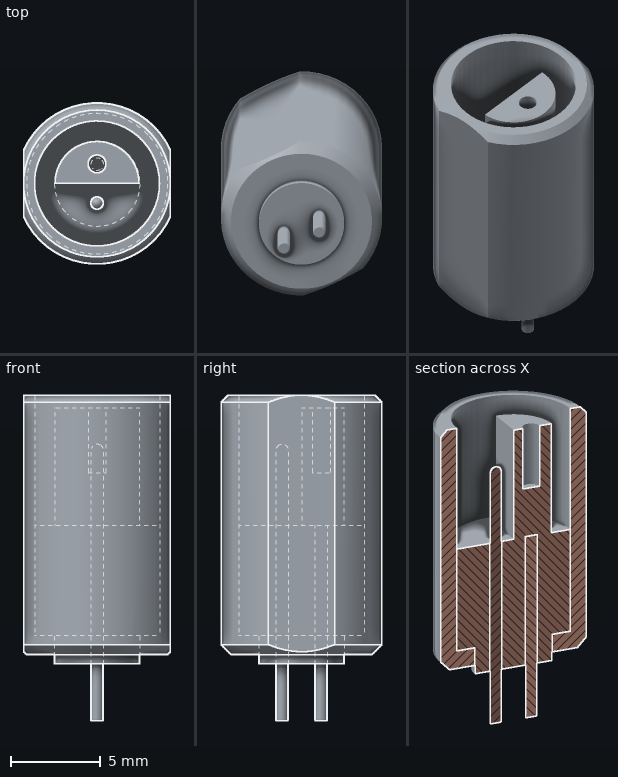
import cadquery as cq

total_height = 18.2
boss_bottom_z = 3.18
housing_bottom_z = 3.7
floor_z = 10.92
half_moon_depth = 0.71
half_moon_top_z = total_height - half_moon_depth

housing_diameter = 9.0
width_across_flats = 8.2
bore_diameter = 6.99
top_chamfer = (housing_diameter - width_across_flats) / 2
bottom_chamfer = 0.56
base_thickness = 1.1
base_top_z = housing_bottom_z + base_thickness

boss_diameter = 4.77
half_moon_diameter = 4.7
socket_diameter = 1.0
socket_depth = 3.64
socket_floor_z = half_moon_top_z - socket_depth

contact_diameter = 0.7
contact_radius = contact_diameter / 2
contact_offset = 1.1
tail_fillet = 0.07
male_tip_z = 15.47


def cylinder(diameter, bottom_z, top_z, center_y=0):
    """Vertical cylinder on the plane X = 0."""
    return (
        cq.Workplane("XY", origin=(0, center_y, bottom_z))
        .circle(diameter / 2)
        .extrude(top_z - bottom_z)
    )


def make_housing():
    """Chamfered shell with two flats, bored from above and open through its base."""
    barrel = cylinder(housing_diameter, housing_bottom_z, total_height)
    barrel = barrel.faces(">Z").chamfer(top_chamfer).faces("<Z").chamfer(bottom_chamfer)
    flats = cq.Workplane("XY").box(
        width_across_flats, housing_diameter, total_height, centered=(True, True, False)
    )
    bore = cylinder(bore_diameter, base_top_z, total_height)
    base_opening = cylinder(boss_diameter, housing_bottom_z, base_top_z)
    return barrel.intersect(flats).cut(bore).cut(base_opening)


def make_contact(center_y, top_z):
    """Round pin with a rounded lower tip."""
    pin = cylinder(contact_diameter, 0, top_z, center_y)
    return pin.faces("<Z").edges().fillet(tail_fillet)


def make_male_contact():
    """Pin with a hemispherical mating tip, standing beside the half-moon."""
    dome_center_z = male_tip_z - contact_radius
    dome = cq.Workplane("XY", origin=(0, -contact_offset, dome_center_z)).sphere(contact_radius)
    return make_contact(-contact_offset, dome_center_z).union(dome)


def make_female_contact():
    """Pin ending at the floor of the insulator."""
    return make_contact(contact_offset, floor_z)


def make_insulator(contacts):
    """Disk filling the bore, with a boss below, a half-moon above and seats for the contacts."""
    disk = cylinder(bore_diameter, base_top_z, floor_z)
    boss = cylinder(boss_diameter, boss_bottom_z, base_top_z)
    half_moon = (
        cq.Workplane("XY", origin=(0, 0, floor_z))
        .moveTo(half_moon_diameter / 2, 0)
        .threePointArc((0, half_moon_diameter / 2), (-half_moon_diameter / 2, 0))
        .close()
        .extrude(half_moon_top_z - floor_z)
    )
    insulator = disk.union(boss).union(half_moon)
    insulator = insulator.cut(cylinder(socket_diameter, socket_floor_z, half_moon_top_z, contact_offset))
    for contact in contacts:
        insulator = insulator.cut(contact)
    return insulator


housing = make_housing()
male_contact = make_male_contact()
female_contact = make_female_contact()
insulator = make_insulator([male_contact, female_contact])

bodies = [housing, insulator, male_contact, female_contact]
result = cq.Compound.makeCompound([body.solids().val() for body in bodies])